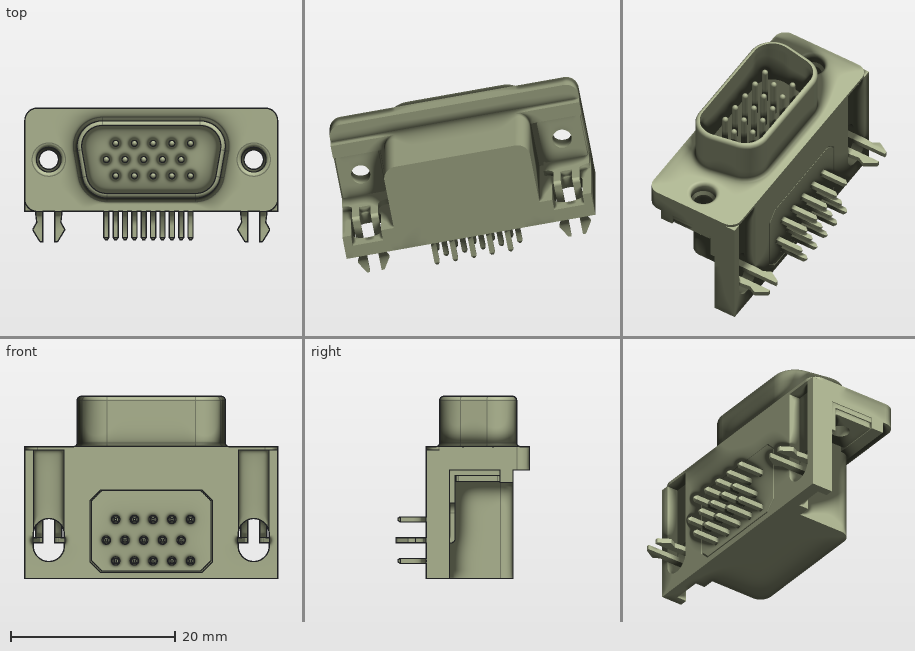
import cadquery as cq
import math


width = 30.8
half_width = width / 2
depth = 12.6
wall_thickness = 2.85
flange_bottom = 13.22
flange_top = 16.08
plate_thickness = 0.4
corner_radius = 1.55
plate_bottom = flange_top - plate_thickness
lip_front = 8.97
lip_bottom = 11.7
body_back = 10.6
body_half_width = 9.03

mount_x = 12.48
mount_y = 6.32
screw_radius = 1.17
bore_radius = 1.5
bore_rounding = 0.52
bore_depth = 1.3

slot_radius = 1.88
slot_bottom_center = 3.97
slot_top_center = 5.42
channel_depth = 1.55

bracket_thickness = 0.65
bracket_half_width = 2.83
bracket_bottom = 4.35
bracket_shoulder = 9.2
shoulder_radius = 1.23
bend_radius = 0.52
leg_half_width = bracket_half_width - shoulder_radius
leg_gap_half = 0.7
neck_half_width = 1.48
neck_start = 0.3
neck_end = 1.32
barb_half_width = 1.97
barb_reach = 2.22
barb_rounding = 0.15
tip_half_width = 1.08
tip_rounding = 0.25
prong_length = 3.7
bracket_face = wall_thickness + bracket_thickness
nut_width = 5.33
nut_thickness = 0.77
nut_corner = 0.28

opening_half_width = 7.5
opening_bottom = 0.77
opening_top = 10.78
opening_chamfer = 1.3
insert_half_width = 7.27
insert_bottom = 0.95
insert_top = 10.72
insert_chamfer = 1.23
groove_depth = 0.3

shell_top = 22.2
shell_front = 1.63
shell_back = 11.03
shell_corner = 3.08
shell_wall = 0.55
rim_rounding = 0.52
foot_rounding = 0.45
back_arc_x = 5.95
side_angle = math.radians(10)

pin_pitch = 2.28
pins_per_row = 5
outer_row_x = 0.228
middle_row_x = outer_row_x - pin_pitch / 2
contact_row_pitch = 1.97
tail_row_pitch = 2.53
middle_tail_z = 4.68
tail_width = 0.65
tail_length = 3.45
tail_taper = 0.3
tail_tip_width = 0.25
tail_hole_radius = 0.508
contact_radius = 0.37
contact_top = 20.95


arc_middle = 1 - math.sqrt(0.5)


def block(x_half, y_range, z_range):
    """Box centred on X = 0 with the given half width, Y range and Z range."""
    y0, y1 = y_range
    z0, z1 = z_range
    box = cq.Workplane("XY").box(2 * x_half, y1 - y0, z1 - z0, (True, False, False))
    return box.translate((0, y0, z0))


def make_housing():
    flange = block(half_width, (0, depth), (flange_bottom, plate_bottom))
    flange = flange.edges("|Z and >Y").fillet(corner_radius)
    plate = block(half_width, (0, depth), (plate_bottom, flange_top))
    plate = plate.edges("|Z").fillet(corner_radius)
    wall = block(half_width, (0, wall_thickness), (0, flange_bottom))
    lip = block(half_width, (lip_front, body_back), (lip_bottom, flange_bottom))
    body = block(body_half_width, (0, body_back), (0, flange_bottom))
    body = body.edges("|Z and >Y").fillet(corner_radius)
    return flange.union(plate).union(wall).union(lip).union(body)


def make_slot_cut(x):
    """Front channel open at the top, rear slot open at the bottom; together a round-ended window."""
    def round_end(y, z, cut_depth):
        return cq.Workplane("XZ", origin=(x, y, z)).circle(slot_radius).extrude(-cut_depth)

    def straight_part(y_range, z_range):
        return block(slot_radius, y_range, z_range).translate((x, 0, 0))

    rear_depth = wall_thickness - channel_depth
    channel = straight_part((0, channel_depth), (slot_bottom_center, plate_bottom))
    channel = channel.union(round_end(0, slot_bottom_center, channel_depth))
    rear_slot = straight_part((channel_depth, wall_thickness), (0, slot_top_center))
    rear_slot = rear_slot.union(round_end(channel_depth, slot_top_center, rear_depth))
    return channel.union(rear_slot)


def make_screw_cut(x):
    """Screw hole: rounded mouth, bore, 45 degree seat, then the clearance hole."""
    seat_drop = bore_radius - screw_radius
    bore_bottom = flange_top - bore_depth
    arc_reach = bore_rounding * arc_middle
    profile = (
        cq.Workplane("XZ", origin=(x, mount_y, 0))
        .lineTo(screw_radius, 0)
        .lineTo(screw_radius, bore_bottom - seat_drop)
        .lineTo(bore_radius, bore_bottom)
        .lineTo(bore_radius, flange_top - bore_rounding)
        .threePointArc(
            (bore_radius + arc_reach, flange_top - arc_reach),
            (bore_radius + bore_rounding, flange_top),
        )
        .lineTo(0, flange_top)
        .close()
    )
    return profile.revolve(360, (0, 0), (0, 1))


def make_bracket_half():
    """The +X half of the bracket's upright leg and barbed prong."""
    leg_top = bracket_shoulder - shoulder_radius
    arc_reach = shoulder_radius * arc_middle
    leg = (
        cq.Workplane("XZ", origin=(0, wall_thickness, 0))
        .moveTo(0, flange_bottom)
        .lineTo(bracket_half_width, flange_bottom)
        .lineTo(bracket_half_width, bracket_shoulder)
        .threePointArc(
            (leg_half_width + arc_reach, bracket_shoulder - arc_reach),
            (leg_half_width, leg_top),
        )
        .lineTo(leg_half_width, bracket_bottom)
        .lineTo(leg_gap_half, bracket_bottom)
        .lineTo(leg_gap_half, leg_top)
        .lineTo(0, leg_top)
        .close()
        .extrude(-bracket_thickness)
        .edges("|X and >Y and <Z")
        .fillet(bend_radius)
    )
    prong = (
        cq.Workplane("XY", origin=(0, 0, bracket_bottom))
        .moveTo(leg_gap_half, wall_thickness)
        .lineTo(leg_half_width, wall_thickness)
        .lineTo(leg_half_width, -neck_start)
        .lineTo(neck_half_width, -neck_end)
        .lineTo(barb_half_width, -barb_reach)
        .lineTo(tip_half_width, -prong_length)
        .lineTo(leg_gap_half, -prong_length)
        .close()
        .extrude(bracket_thickness)
        .edges("|Z and >X")
        .fillet(barb_rounding)
    )
    tip_corner = cq.selectors.NearestToPointSelector(
        (tip_half_width, -prong_length, bracket_bottom + bracket_thickness / 2)
    )
    prong = prong.edges("|Z").edges(tip_corner).fillet(tip_rounding)
    return leg.union(prong)


def make_bracket(x):
    """L-shaped board lock with two barbed prongs and a square nut under its shelf."""
    nut_top = flange_bottom - bracket_thickness
    shelf = block(bracket_half_width, (wall_thickness, lip_front), (nut_top, flange_bottom))
    nut = block(
        nut_width / 2,
        (mount_y - nut_width / 2, mount_y + nut_width / 2),
        (nut_top - nut_thickness, nut_top),
    )
    nut = nut.edges("|Z").fillet(nut_corner)
    half = make_bracket_half()
    return shelf.union(nut).union(half).union(half.mirror("YZ")).translate((x, 0, 0))


def octagon(x_half, z_range, chamfer, prism_depth):
    """Chamfered rectangular prism reaching back from the front face."""
    return block(x_half, (0, prism_depth), z_range).edges("|Y").chamfer(chamfer)


def make_insert_groove():
    opening = octagon(opening_half_width, (opening_bottom, opening_top), opening_chamfer, groove_depth)
    insert = octagon(insert_half_width, (insert_bottom, insert_top), insert_chamfer, groove_depth)
    return opening.cut(insert)


def make_shell():
    """D-shaped prism with a rounded rim: a trapezoid with large round corners, wider at the back."""
    back_y = shell_back - shell_corner
    front_y = shell_front + shell_corner
    front_arc_x = back_arc_x - (back_y - front_y) * math.tan(side_angle)

    def on_arc(center_x, center_y, angle):
        return (center_x + shell_corner * math.cos(angle), center_y + shell_corner * math.sin(angle))

    def mirrored(point):
        return (-point[0], point[1])

    back_middle = on_arc(back_arc_x, back_y, math.pi / 4 - side_angle / 2)
    back_tangent = on_arc(back_arc_x, back_y, -side_angle)
    front_tangent = on_arc(front_arc_x, front_y, -side_angle)
    front_middle = on_arc(front_arc_x, front_y, -math.pi / 4 - side_angle / 2)
    outline = (
        cq.Workplane("XY", origin=(0, 0, flange_top))
        .moveTo(-back_arc_x, shell_back)
        .lineTo(back_arc_x, shell_back)
        .threePointArc(back_middle, back_tangent)
        .lineTo(*front_tangent)
        .threePointArc(front_middle, (front_arc_x, shell_front))
        .lineTo(-front_arc_x, shell_front)
        .threePointArc(mirrored(front_middle), mirrored(front_tangent))
        .lineTo(*mirrored(back_tangent))
        .threePointArc(mirrored(back_middle), (-back_arc_x, shell_back))
        .close()
    )
    height = shell_top - flange_top
    shell = outline.extrude(height)
    cavity = shell.faces("<Z").wires().toPending().offset2D(-shell_wall)
    cavity = cavity.extrude(height + plate_thickness, combine=False).translate((0, 0, -plate_thickness))
    return shell.faces(">Z").edges().fillet(rim_rounding), cavity


def add_shell(part):
    """Stand the shell on the flange, round its foot, then hollow it through the plate."""
    shell, cavity = make_shell()
    foot_region = cq.selectors.BoxSelector(
        (-mount_x, shell_front / 2, flange_top - plate_thickness / 2),
        (mount_x, (shell_back + depth) / 2, flange_top + plate_thickness / 2),
    )
    return part.union(shell).edges(foot_region).fillet(foot_rounding).cut(cavity)


def pin_columns(row_x):
    """X places of the pins in a row centred on row_x."""
    return [row_x + (i - (pins_per_row - 1) / 2) * pin_pitch for i in range(pins_per_row)]


def make_tail_hole(x, z):
    return cq.Workplane("XZ", origin=(x, 0, z)).circle(tail_hole_radius).extrude(-groove_depth)


def make_tail(x, z):
    """Square solder tail with a tapered tip, rooted at the bottom of its hole."""
    shank_length = tail_length - tail_taper
    shank = (
        cq.Workplane("XZ", origin=(x, groove_depth, z))
        .rect(tail_width, tail_width)
        .extrude(shank_length + groove_depth)
    )
    tip = (
        cq.Workplane("XZ", origin=(x, -shank_length, z))
        .rect(tail_width, tail_width)
        .workplane(offset=tail_taper)
        .rect(tail_tip_width, tail_tip_width)
        .loft()
    )
    return shank.union(tip)


def make_contact(x, y):
    """Round contact pin with a domed end, standing on the floor of the shell."""
    dome_center = contact_top - contact_radius
    height = dome_center - plate_bottom
    pin = cq.Workplane("XY", origin=(x, y, plate_bottom)).circle(contact_radius).extrude(height)
    return pin.union(cq.Workplane("XY", origin=(x, y, dome_center)).sphere(contact_radius))


result = add_shell(make_housing())
result = result.cut(make_insert_groove())
for mount in (-mount_x, mount_x):
    result = result.cut(make_slot_cut(mount))
    result = result.union(make_bracket(mount))
    result = result.cut(make_screw_cut(mount))

for row in (-1, 0, 1):
    tail_z = middle_tail_z + row * tail_row_pitch
    contact_y = mount_y + row * contact_row_pitch
    for pin_x in pin_columns(middle_row_x if row == 0 else outer_row_x):
        result = result.cut(make_tail_hole(pin_x, tail_z))
        result = result.union(make_tail(pin_x, tail_z))
        result = result.union(make_contact(pin_x, contact_y))